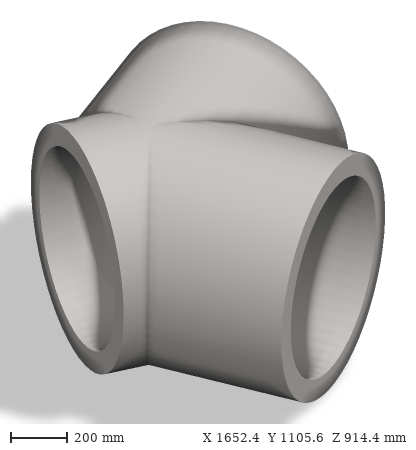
import cadquery as cq
import math

OUTER_DIAMETER = 914.4
BORE_DIAMETER = 747.98

INLET_LENGTH = 279.4
BRANCH_LENGTH = 711.2

BRANCH_ANGLE = 45.0

LEG_OVERRUN = 2 * OUTER_DIAMETER

CUTTER_SIZE = 6 * OUTER_DIAMETER


def direction(angle_from_y):
    """Unit vector in the XY plane, turned from +Y towards +X."""
    angle = math.radians(angle_from_y)
    return cq.Vector(math.sin(angle), math.cos(angle), 0)


LEGS = [
    (direction(180), INLET_LENGTH),
    (direction(BRANCH_ANGLE), BRANCH_LENGTH),
    (direction(-BRANCH_ANGLE), BRANCH_LENGTH),
]


def mitred_leg(diameter, axis, length):
    """Cylinder along one leg, cut on the planes halfway to the other two legs."""
    radius = diameter / 2
    start = axis * -LEG_OVERRUN
    leg = cq.Workplane(cq.Solid.makeCylinder(radius, length + LEG_OVERRUN, start, axis))
    for other_axis, _ in LEGS:
        if other_axis is axis:
            continue
        leg = leg.cut(beyond_mitre((other_axis - axis).normalized()))
    return leg


def beyond_mitre(normal):
    """Large block filling the side of a mitre plane that the normal points to."""
    plane = cq.Plane(origin=(0, 0, 0), xDir=(0, 0, 1), normal=normal.toTuple())
    return cq.Workplane(plane).rect(CUTTER_SIZE, CUTTER_SIZE).extrude(CUTTER_SIZE)


def three_way_body(diameter):
    """Solid Y of the three mitred legs."""
    body = cq.Workplane()
    for axis, length in LEGS:
        leg = mitred_leg(diameter, axis, length)
        body = body.union(leg) if body.objects else leg
    return body


result = three_way_body(OUTER_DIAMETER).cut(three_way_body(BORE_DIAMETER))